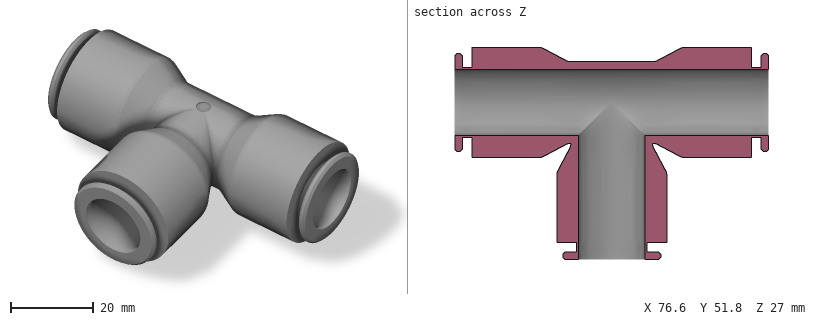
import cadquery as cq

port_length = 38.3
body_radius = 13.5
core_radius = 10.0
bore_radius = 8.05
neck_radius = 8.65
collar_radius = 12.0
collar_thickness = 1.9
collar_chamfer = 0.6
neck_length = 2.2
cone_start = 10.65
cone_end = 17.15
blend_radius = 1.9
recess_radius = 1.85
recess_depth = 0.45

collar_start = port_length - collar_thickness
body_end = collar_start - neck_length

port_planes = [
    cq.Plane(origin=(0, 0, 0), xDir=(0, 1, 0), normal=(1, 0, 0)),
    cq.Plane(origin=(0, 0, 0), xDir=(0, 1, 0), normal=(-1, 0, 0)),
    cq.Plane(origin=(0, 0, 0), xDir=(1, 0, 0), normal=(0, -1, 0)),
]


def make_housing():
    """Core, cone and body of one port, revolved about Z."""
    profile = (
        cq.Workplane("XZ")
        .polyline([
            (0, 0),
            (core_radius, 0),
            (core_radius, cone_start),
            (body_radius, cone_end),
            (body_radius, body_end),
            (0, body_end),
        ])
        .close()
    )
    housing = profile.revolve(360, (0, 0, 0), (0, 1, 0))
    selection_margin = 0.8
    cone_edges = cq.selectors.BoxSelector(
        (-body_radius, -body_radius, cone_start - selection_margin),
        (body_radius, body_radius, cone_end + selection_margin),
    )
    return housing.edges("%CIRCLE").edges(cone_edges).fillet(blend_radius)


def make_release_collar():
    """Neck and chamfered flange of one port, along Z."""
    neck = cq.Workplane("XY").circle(neck_radius).extrude(port_length)
    flange = (
        cq.Workplane("XY", origin=(0, 0, collar_start))
        .circle(collar_radius)
        .extrude(collar_thickness)
        .edges()
        .chamfer(collar_chamfer)
    )
    return neck.union(flange)


port = make_housing().union(make_release_collar()).val()
bore = cq.Workplane("XY").circle(bore_radius).extrude(port_length).val()

result = cq.Workplane("XY")
for plane in port_planes:
    result = result.union(cq.Workplane(port.moved(cq.Location(plane))))
for plane in port_planes:
    result = result.cut(cq.Workplane(bore.moved(cq.Location(plane))))

recess_floor = core_radius - recess_depth
result = result.cut(
    cq.Workplane("XY", origin=(0, 0, recess_floor)).circle(recess_radius).extrude(recess_depth)
)